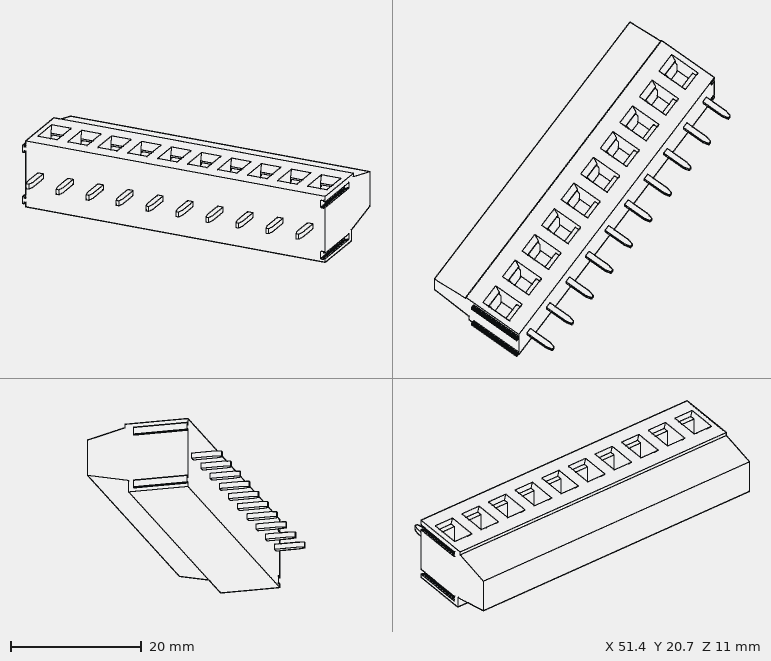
import cadquery as cq
import math

pole_count = 10
overall_length = 51.4
body_length = 50.8
overall_depth = 20.7
body_depth = 16.05
body_height = 11.0
pole_pitch = body_length / pole_count

top_shoulder_y = 10.05
bottom_shoulder_y = 9.45
taper_top_front_z = 10.45
taper_top_back_z = 9.0
taper_bottom_front_z = 1.85
taper_bottom_back_z = 3.3

rail_length = 8.55
rail_protrusion = overall_length - body_length
rail_head_height = 1.25
rail_head_thickness = 0.3
rail_neck_height = 0.65
rail_centers_z = (1.1, 9.6)
groove_depth = 0.75
groove_head_height = 1.3
groove_head_thickness = 0.45
groove_neck_height = 0.9
head_bevel = 0.1

funnel_width = 3.3
funnel_front_y = 2.45
funnel_back_y = 7.45
funnel_depth = 1.05
shaft_width = 2.8
shaft_front_y = 3.3
shaft_back_y = 6.6
pocket_floor_z = body_height / 2

nose_width = 2.4
nose_reach = 0.45
nose_drop = 0.25
nose_radius = 0.7

pin_length = overall_depth - body_depth
pin_width = 0.9
pin_thickness = 0.8
pin_center_z = 5.65
pin_tip_length = 1.0
pin_tip_width = 0.45


def make_body():
    """Housing, extruded along X from its side profile."""
    profile = [
        (0, 0),
        (bottom_shoulder_y, 0),
        (bottom_shoulder_y, taper_bottom_front_z),
        (body_depth, taper_bottom_back_z),
        (body_depth, taper_top_back_z),
        (top_shoulder_y, taper_top_front_z),
        (top_shoulder_y, body_height),
        (0, body_height),
    ]
    return cq.Workplane("YZ").polyline(profile).close().extrude(body_length)


def make_t_bar(root_x, reach, neck_height, head_height, head_thickness, center_z):
    """T-section bar along +Y: a neck at root_x and a wider head with bevelled edges on its -X side."""
    tip_x = root_x - reach
    step_x = tip_x + head_thickness
    upper_half = [
        (root_x, neck_height / 2),
        (step_x, neck_height / 2),
        (step_x, head_height / 2),
        (tip_x + head_bevel, head_height / 2),
        (tip_x, head_height / 2 - head_bevel),
    ]
    upper = [(x, center_z + z) for x, z in upper_half]
    lower = [(x, center_z - z) for x, z in reversed(upper_half)]
    return cq.Workplane("XZ").polyline(upper + lower).close().extrude(-rail_length)


def make_pocket(center_x):
    """Volume removed for one wire entry: tapered funnel, then a shaft with the clamp nose left standing."""
    shaft_center_y = (shaft_front_y + shaft_back_y) / 2
    shaft_depth_y = shaft_back_y - shaft_front_y
    funnel_top_depth_y = funnel_back_y - funnel_front_y
    funnel_bottom_depth_y = shaft_back_y - funnel_front_y
    funnel_floor_z = body_height - funnel_depth
    funnel = (
        cq.Workplane("XY", origin=(center_x, 0, body_height))
        .center(0, funnel_front_y + funnel_top_depth_y / 2)
        .rect(funnel_width, funnel_top_depth_y)
        .workplane(offset=-funnel_depth)
        .center(0, (funnel_bottom_depth_y - funnel_top_depth_y) / 2)
        .rect(shaft_width, funnel_bottom_depth_y)
        .loft(ruled=True)
    )
    shaft = (
        cq.Workplane("XY", origin=(center_x, shaft_center_y, pocket_floor_z))
        .rect(shaft_width, shaft_depth_y)
        .extrude(funnel_floor_z - pocket_floor_z)
    )
    nose_top_z = funnel_floor_z - nose_drop
    nose_front_y = shaft_back_y - nose_reach
    round_center_y = nose_front_y + nose_radius
    round_height = math.sqrt(nose_radius**2 - (round_center_y - shaft_back_y) ** 2)
    round_bottom_z = nose_top_z - round_height
    mid_angle = math.asin(round_height / nose_radius) / 2
    round_middle = (
        round_center_y - nose_radius * math.cos(mid_angle),
        round_bottom_z + nose_radius * math.sin(mid_angle),
    )
    nose = (
        cq.Workplane("YZ", origin=(center_x, 0, 0))
        .moveTo(shaft_back_y, nose_top_z)
        .threePointArc(round_middle, (nose_front_y, round_bottom_z))
        .lineTo(nose_front_y, pocket_floor_z)
        .lineTo(shaft_back_y, pocket_floor_z)
        .close()
        .extrude(nose_width / 2, both=True)
    )
    return funnel.union(shaft.cut(nose))


def make_pin(center_x):
    """Flat solder pin pointing to -Y, with its sides tapered at the tip."""
    shoulder_y = pin_tip_length - pin_length
    profile = [
        (-pin_width / 2, 0),
        (-pin_width / 2, shoulder_y),
        (-pin_tip_width / 2, -pin_length),
        (pin_tip_width / 2, -pin_length),
        (pin_width / 2, shoulder_y),
        (pin_width / 2, 0),
    ]
    return (
        cq.Workplane("XY", origin=(center_x, 0, pin_center_z))
        .polyline(profile)
        .close()
        .extrude(pin_thickness / 2, both=True)
    )


result = make_body()

for rail_z in rail_centers_z:
    rail = make_t_bar(
        0, rail_protrusion, rail_neck_height, rail_head_height, rail_head_thickness, rail_z
    )
    groove = make_t_bar(
        body_length, groove_depth, groove_neck_height, groove_head_height, groove_head_thickness, rail_z
    )
    result = result.union(rail).cut(groove)

for pole in range(pole_count):
    pole_x = (pole + 0.5) * pole_pitch
    result = result.cut(make_pocket(pole_x)).union(make_pin(pole_x))